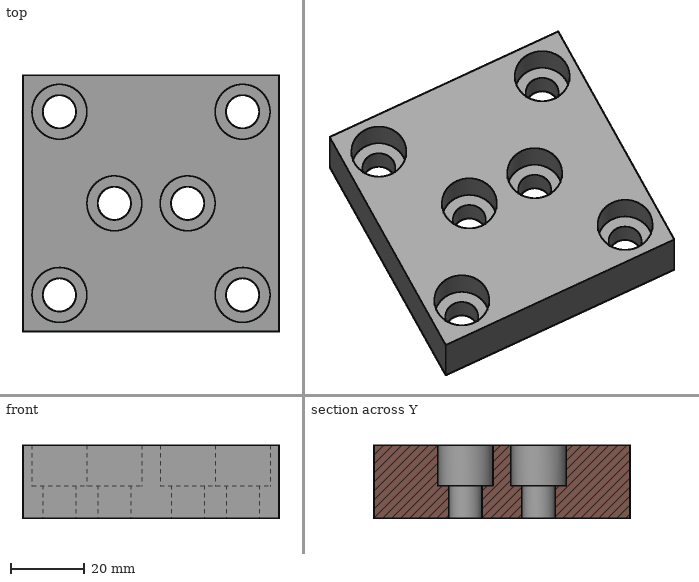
import cadquery as cq

block_side = 70.0
block_height = 20.0

hole_diameter = 9.0
counterbore_diameter = 15.0
counterbore_depth = 11.0

corner_spacing = 50.0
middle_spacing = 20.0


def make_block():
    """Plain square block centred on the origin in X, Y and Z."""
    return cq.Workplane("XY").box(block_side, block_side, block_height)


def cut_counterbored_holes(body, x_spacing, y_spacing, x_count, y_count):
    """Cut a centred grid of counterbored through holes from the top face."""
    return (
        body.faces(">Z")
        .workplane(origin=(0, 0, 0))
        .rarray(x_spacing, y_spacing, x_count, y_count)
        .cboreHole(hole_diameter, counterbore_diameter, counterbore_depth)
    )


block = make_block()
with_corner_holes = cut_counterbored_holes(block, corner_spacing, corner_spacing, 2, 2)
result = cut_counterbored_holes(with_corner_holes, middle_spacing, middle_spacing, 2, 1)